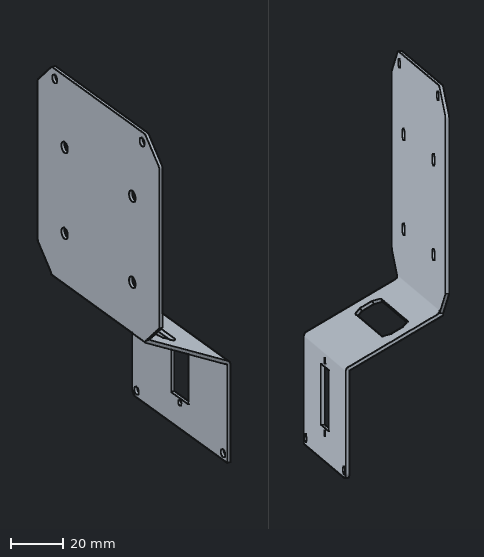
import cadquery as cq
import math

sheet = 1.5
total_height = 152.3
total_depth = 38.5
plate_width = 86.7
strip_width = 67.6
top_chamfer = 10.0
bottom_chamfer = (plate_width - strip_width) / 2
top_corner_radius = 2.0
foot_corner_radius = 2.5
bend_radius = 2.0

upper_bend_z = 62.3
lower_bend_z = 42.5

top_hole_diameter = 3.5
top_hole_x = 31.0
top_hole_z = 147.9
mount_hole_diameter = 4.5
mount_hole_x = 24.0
mount_hole_heights = (84.2, 121.4)
foot_hole_diameter = 3.2
foot_hole_x = 30.8
foot_hole_z = 2.9

window_width = 12.3
window_height = 23.9
window_center_z = 25.1
screw_hole_diameter = 2.3
screw_hole_spacing = 28.3
screw_center_z = 25.3

slot_width = 49.4
slot_length = 11.5
slot_chamfer = 3.0
slot_center_y = 16.1

lower_plate_y = total_depth - sheet
web_slope = (upper_bend_z - lower_bend_z) / lower_plate_y
web_angle = math.atan(web_slope)
web_top_offset = sheet / math.cos(web_angle)


def web_top_z(y):
    """Height of the upper face of the web at depth y."""
    return upper_bend_z + web_top_offset - web_slope * y


plate_bottom_z = web_top_z(sheet)
strip_top_z = total_height / 2


def bent_strip():
    """Z-shaped sheet: upper plate, sloping web and lower plate, overlapping the wide plate."""
    profile = [
        (0, strip_top_z),
        (0, upper_bend_z),
        (lower_plate_y, lower_bend_z),
        (lower_plate_y, 0),
        (total_depth, 0),
        (total_depth, web_top_z(total_depth)),
        (sheet, plate_bottom_z),
        (sheet, strip_top_z),
    ]
    strip = cq.Workplane("YZ").polyline(profile).close().extrude(strip_width / 2, both=True)
    strip = strip.edges("|Y").edges("<Z").edges("<X").fillet(foot_corner_radius)
    bend_points = [(0, total_depth, web_top_z(total_depth)), (0, sheet, plate_bottom_z)]
    for point in bend_points:
        strip = strip.edges(cq.NearestToPointSelector(point)).fillet(bend_radius)
    return strip


def upper_plate():
    """Wide plate with chamfered corners, blended into its top edge and sides at the top."""
    height = total_height - plate_bottom_z
    plate = cq.Workplane("XY").box(plate_width, sheet, height, centered=(True, False, False))
    plate = plate.translate((0, 0, plate_bottom_z))
    plate = plate.edges("|Y").edges("<Z").chamfer(bottom_chamfer)
    plate = plate.edges("|Y").edges(">Z").chamfer(top_chamfer)
    chamfer_end_z = total_height - 1.5 * top_chamfer
    top_region = cq.selectors.BoxSelector(
        (-plate_width, -sheet, chamfer_end_z), (plate_width, 2 * sheet, total_height + sheet)
    )
    return plate.edges("|Y").edges(top_region).fillet(top_corner_radius)


def through_holes(points, diameter):
    """Cylinders along Y through the full depth, at (x, z) points."""
    return cq.Workplane("XZ").pushPoints(points).circle(diameter / 2).extrude(-total_depth)


def mirrored_pair(x, z):
    return [(-x, z), (x, z)]


def window():
    return (
        cq.Workplane("XZ")
        .center(0, window_center_z)
        .rect(window_width, window_height)
        .extrude(-total_depth)
    )


def web_slot():
    """Chamfered box standing square to the web, centred on its upper face."""
    slot = cq.Workplane("XY").box(slot_width, slot_length, 4 * sheet)
    slot = slot.edges("|Z").chamfer(slot_chamfer)
    slot = slot.rotate((0, 0, 0), (1, 0, 0), -math.degrees(web_angle))
    return slot.translate((0, slot_center_y, web_top_z(slot_center_y)))


mount_points = []
for hole_z in mount_hole_heights:
    mount_points += mirrored_pair(mount_hole_x, hole_z)

screw_points = [(0, screw_center_z + side * screw_hole_spacing / 2) for side in (-1, 1)]

result = bent_strip().union(upper_plate())
result = result.cut(through_holes(mirrored_pair(top_hole_x, top_hole_z), top_hole_diameter))
result = result.cut(through_holes(mount_points, mount_hole_diameter))
result = result.cut(through_holes(mirrored_pair(foot_hole_x, foot_hole_z), foot_hole_diameter))
result = result.cut(through_holes(screw_points, screw_hole_diameter))
result = result.cut(window())
result = result.cut(web_slot())